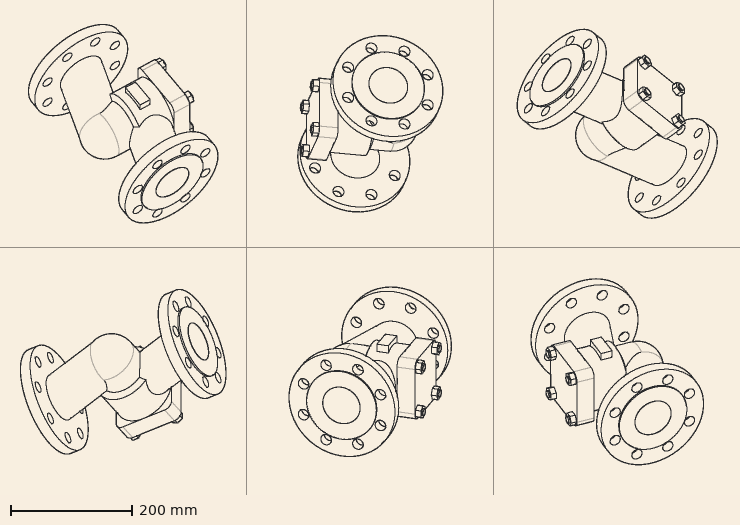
import cadquery as cq
import math

face_to_face = 290.0
flange_diameter = 185.0
flange_thickness = 18.8
raised_face_diameter = 121.8
raised_face_height = 3.0
bore_diameter = 65.2
bore_recess_depth = 0.5
bolt_circle_diameter = 145.0
flange_hole_diameter = 18.3
flange_hole_count = 8

pipe_diameter = 78.3
pipe_tilt = 17.5
pipe_start_y = -0.5
pipe_inner_end_x = 5.8

neck_radius = 42.0
dome_center_y = -36.8
cone_start_y = -1.2
chamber_start_y = 4.0
chamber_radius = 53.0

bonnet_width = 106.5
bonnet_corner_radius = 13.0
bonnet_start_y = 65.2
bonnet_end_y = 96.3

nut_across_corners = 22.3
nut_height = 9.5
stud_diameter = 12.2
stud_end_y = 108.2
stud_offset = bonnet_width / 2 - bonnet_corner_radius

pad_length = 43.2
pad_width = 20.0
pad_center_y = 29.0
pad_top_z = 61.5

flange_outer_x = face_to_face / 2 - raised_face_height
flange_inner_x = flange_outer_x - flange_thickness


def plane_facing_y(y):
    """Plane at height y whose normal is +Y and whose local x is +X."""
    return cq.Plane(origin=(0, y, 0), xDir=(1, 0, 0), normal=(0, 1, 0))


def make_flange(side):
    """Drilled flange with a raised face; side is -1 for the -X end and +1 for the +X end."""
    plane = cq.Plane(origin=(side * flange_inner_x, 0, 0), xDir=(0, 1, 0), normal=(side, 0, 0))
    disc = cq.Workplane(plane).circle(flange_diameter / 2).extrude(flange_thickness)
    raised_face = (
        cq.Workplane(plane)
        .circle(raised_face_diameter / 2)
        .extrude(flange_thickness + raised_face_height)
    )
    holes = (
        cq.Workplane(plane)
        .polarArray(bolt_circle_diameter / 2, 180 / flange_hole_count, 360, flange_hole_count)
        .circle(flange_hole_diameter / 2)
        .extrude(flange_thickness)
    )
    recess = (
        cq.Workplane(plane)
        .workplane(offset=flange_thickness + raised_face_height - bore_recess_depth)
        .circle(bore_diameter / 2)
        .extrude(bore_recess_depth)
    )
    return disc.union(raised_face).cut(holes).cut(recess)


def make_pipe(side):
    """Tilted pipe from the flange into the body, trimmed flush with the inner flange face."""
    tilt = math.radians(pipe_tilt)
    extension = pipe_diameter * math.sin(tilt)
    outer_x = flange_inner_x + extension
    start_y = pipe_start_y - side * extension * math.tan(tilt)
    start = (side * outer_x, start_y, 0)
    direction = (-side * math.cos(tilt), side * math.sin(tilt), 0)
    length = (outer_x - pipe_inner_end_x) / math.cos(tilt)
    plane = cq.Plane(origin=start, xDir=(0, 0, 1), normal=direction)
    pipe = cq.Workplane(plane).circle(pipe_diameter / 2).extrude(length)
    trim = cq.Workplane("XY").box(2 * flange_inner_x, flange_diameter, flange_diameter)
    return pipe.intersect(trim)


def make_body():
    """Domed neck, cone and wide chamber as one revolved solid."""
    dome_bottom_y = dome_center_y - neck_radius
    dome_middle = (
        neck_radius * math.sin(math.radians(45)),
        dome_center_y - neck_radius * math.cos(math.radians(45)),
    )
    return (
        cq.Workplane("XY")
        .moveTo(0, dome_bottom_y)
        .threePointArc(dome_middle, (neck_radius, dome_center_y))
        .lineTo(neck_radius, cone_start_y)
        .lineTo(chamber_radius, chamber_start_y)
        .lineTo(chamber_radius, bonnet_start_y)
        .lineTo(0, bonnet_start_y)
        .close()
        .revolve(360, (0, 0, 0), (0, 1, 0))
    )


def make_bonnet():
    """Square bonnet with rounded corners."""
    return (
        cq.Workplane(plane_facing_y(bonnet_start_y))
        .rect(bonnet_width, bonnet_width)
        .extrude(bonnet_end_y - bonnet_start_y)
        .edges("|Y")
        .fillet(bonnet_corner_radius)
    )


def make_fasteners():
    """Four studs with hex nuts, each turned a quarter turn from the one before it."""
    plane = plane_facing_y(bonnet_end_y)
    nut = (
        cq.Workplane(plane)
        .center(stud_offset, -stud_offset)
        .polygon(6, nut_across_corners)
        .extrude(nut_height)
    )
    stud = (
        cq.Workplane(plane)
        .center(stud_offset, -stud_offset)
        .circle(stud_diameter / 2)
        .extrude(stud_end_y - bonnet_end_y)
    )
    fastener = nut.union(stud)
    fasteners = cq.Workplane("XY")
    for quarter in range(4):
        fasteners = fasteners.add(fastener.rotate((0, 0, 0), (0, 1, 0), 90 * quarter))
    return fasteners.combine()


def make_pad():
    """Rectangular pad standing on the +Z side of the chamber."""
    return (
        cq.Workplane("XY")
        .center(0, pad_center_y)
        .rect(pad_length, pad_width)
        .extrude(pad_top_z)
    )


result = make_body().union(make_bonnet()).union(make_pad())
for end in (-1, 1):
    result = result.union(make_pipe(end)).union(make_flange(end))
result = result.union(make_fasteners())